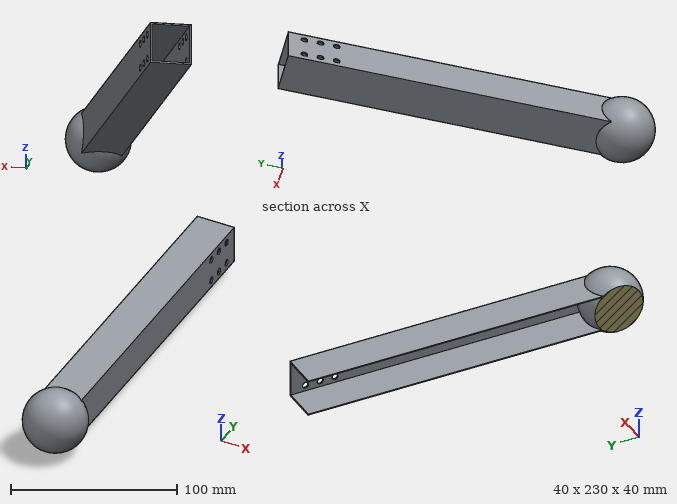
import cadquery as cq

tube_side = 25.0
wall_thickness = 1.0
tube_length = 200.0

ball_diameter = 40.0
overall_length = 230.0
ball_radius = ball_diameter / 2
ball_center_y = tube_length - overall_length + ball_radius

hole_diameter = 4.0
hole_pitch = 10.0
hole_columns = 3
hole_row_spacing = 15.0
first_hole_from_end = 10.0


def make_square_prism(side):
    """Square prism centred on the Y axis, running from Y = 0 to the far end."""
    return cq.Workplane("XY").box(side, tube_length, side, centered=(True, False, True))


def make_tube():
    """Square tube with an even wall and a bore along its full length."""
    return make_square_prism(tube_side).cut(make_square_prism(tube_side - 2 * wall_thickness))


def make_ball():
    """Solid ball centred on the tube axis; it plugs the near end of the tube."""
    return cq.Workplane("XZ", origin=(0, ball_center_y, 0)).sphere(ball_radius)


def make_cross_holes():
    """Two rows of cylinders along X, passing right through the tube."""
    centers = []
    for column in range(hole_columns):
        y = tube_length - first_hole_from_end - column * hole_pitch
        for side in (-1, 1):
            centers.append((y, side * hole_row_spacing / 2))
    return (
        cq.Workplane("YZ")
        .pushPoints(centers)
        .circle(hole_diameter / 2)
        .extrude(tube_side / 2, both=True)
    )


result = make_tube().cut(make_cross_holes()).union(make_ball())